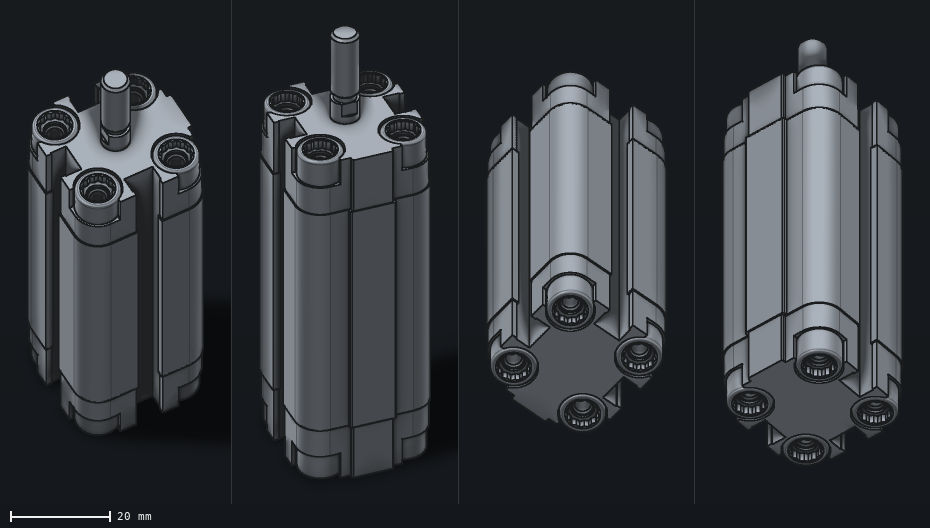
import cadquery as cq
import math

BODY_LENGTH = 78.0
CAP_LENGTH = 12.5
BARREL_HALF_WIDTH = 14.5
CAP_INSET = 0.25
CORNER_RADIUS = 5.5

RIB_HEIGHT = 1.0
RIB_HALF_WIDTH = 5.0
RIB_CAP_INSET = 0.5
RIB_CHAMFER = 0.3

SLOT_OPENING = 5.5
SLOT_UNDERCUT = 6.5
SLOT_LIP = 1.7
SLOT_DEPTH = 4.9

BOSS_OFFSET = BARREL_HALF_WIDTH - CORNER_RADIUS
BOSS_DIAMETER = 9.5
BOSS_HEIGHT = 6.0
BOSS_EDGE_RADIUS = 0.6
POCKET_RADIUS = 5.0
POCKET_WALL_OFFSET = 2.3
SOCKET_RIM_DIAMETER = 7.2
SOCKET_RIM_DEPTH = 0.15
SOCKET_POINTS = 12
SOCKET_ACROSS_FLATS = 5.9
SOCKET_DEPTH = 2.2
BORE_DIAMETER = 4.77
BORE_DEPTH = 2.9
COUNTERSINK_DIAMETER = 4.13
THROUGH_DIAMETER = 3.24

ROD_DIAMETER = 6.0
NECK_DIAMETER = 4.77
ROD_LENGTH = 20.5
SHOULDER_HEIGHT = 4.7
THREAD_START = 6.5
FLAT_START = 1.75
ACROSS_FLATS = 5.0


def outline_block(inset, rib_inset, length):
    """Prism of the housing section, with its outer faces and rib sides set back by the insets."""
    half_width = BARREL_HALF_WIDTH - inset
    block = (
        cq.Workplane("XY")
        .rect(2 * half_width, 2 * half_width)
        .extrude(length)
        .edges("|Z")
        .fillet(CORNER_RADIUS - inset)
    )
    rib_width = 2 * (RIB_HALF_WIDTH - rib_inset)
    rib_top = half_width + RIB_HEIGHT
    rib = (
        cq.Workplane("XY")
        .center(0, rib_top / 2)
        .rect(rib_width, rib_top)
        .extrude(length)
        .edges("|Z and >Y")
        .chamfer(RIB_CHAMFER)
    )
    block = block.union(rib)
    slot = t_slot(inset, length)
    for angle in (0, 90, -90):
        block = block.cut(slot.rotate((0, 0, 0), (0, 0, 1), angle))
    return block


def t_slot(inset, length):
    """Cutter for the T-slot that opens on the -Y face; the inset widens its mouth and thins its lips."""
    floor_y = -(BARREL_HALF_WIDTH - SLOT_DEPTH)
    lip_y = -(BARREL_HALF_WIDTH - SLOT_LIP + inset)
    half_opening = SLOT_OPENING / 2 + inset
    undercut = (
        cq.Workplane("XY")
        .center(0, (floor_y + lip_y) / 2)
        .rect(SLOT_UNDERCUT, floor_y - lip_y)
        .extrude(length)
    )
    opening_height = BARREL_HALF_WIDTH + floor_y
    opening = (
        cq.Workplane("XY")
        .center(0, floor_y - opening_height / 2)
        .rect(2 * half_opening, opening_height)
        .extrude(length)
    )
    return undercut.union(opening)


def corner_pocket():
    """Cutter for the space around one boss, squared off towards the +X, +Y corner."""
    reach = 2 * CORNER_RADIUS
    round_part = cq.Workplane("XY").circle(POCKET_RADIUS).extrude(BOSS_HEIGHT)
    corner_part = cq.Workplane("XY").box(reach, reach, BOSS_HEIGHT, centered=False)
    return round_part.union(corner_part.translate((-POCKET_WALL_OFFSET, -POCKET_WALL_OFFSET, 0)))


def corner_boss():
    """Round boss with a rounded top edge."""
    return (
        cq.Workplane("XY")
        .circle(BOSS_DIAMETER / 2)
        .extrude(BOSS_HEIGHT)
        .faces(">Z")
        .fillet(BOSS_EDGE_RADIUS)
    )


def screw_socket():
    """Cutter for the star socket, its rim recess, bore and countersink, below the boss top."""
    half_flats = SOCKET_ACROSS_FLATS / 2
    point_radius = half_flats / math.cos(math.pi / 6)
    notch_radius = half_flats / math.cos(math.pi / 12)
    star = []
    for step in range(2 * SOCKET_POINTS):
        radius = point_radius if step % 2 == 0 else notch_radius
        angle = step * math.pi / SOCKET_POINTS
        star.append((radius * math.cos(angle), radius * math.sin(angle)))
    socket = (
        cq.Workplane("XY")
        .workplane(offset=BOSS_HEIGHT)
        .polyline(star)
        .close()
        .extrude(-SOCKET_DEPTH)
    )
    rim = (
        cq.Workplane("XY")
        .workplane(offset=BOSS_HEIGHT)
        .circle(SOCKET_RIM_DIAMETER / 2)
        .extrude(-SOCKET_RIM_DEPTH)
    )
    bore = (
        cq.Workplane("XY")
        .workplane(offset=BOSS_HEIGHT)
        .circle(BORE_DIAMETER / 2)
        .extrude(-BORE_DEPTH)
    )
    cone_height = (COUNTERSINK_DIAMETER - THROUGH_DIAMETER) / 2
    countersink = (
        cq.Workplane("XY")
        .workplane(offset=BOSS_HEIGHT - BORE_DEPTH)
        .circle(COUNTERSINK_DIAMETER / 2)
        .workplane(offset=-cone_height)
        .circle(THROUGH_DIAMETER / 2)
        .loft(ruled=True)
    )
    return socket.union(rim).union(bore).union(countersink)


def end_cap():
    """End cap with its outer face up, standing on z = 0."""
    cap = outline_block(CAP_INSET, RIB_CAP_INSET, CAP_LENGTH)
    ledge = CAP_LENGTH - BOSS_HEIGHT
    pocket = corner_pocket()
    boss = corner_boss()
    socket = screw_socket()
    for x_side in (-1, 1):
        for y_side in (-1, 1):
            turn = math.degrees(math.atan2(y_side, x_side) - math.atan2(1, 1))
            center = (x_side * BOSS_OFFSET, y_side * BOSS_OFFSET, ledge)
            cap = cap.cut(pocket.rotate((0, 0, 0), (0, 0, 1), turn).translate(center))
            cap = cap.union(boss.translate(center))
            cap = cap.cut(socket.translate(center))
    return cap


def build_housing():
    """Barrel with a cap on each end and screw holes running its full length."""
    barrel_length = BODY_LENGTH - 2 * CAP_LENGTH
    barrel = outline_block(0, 0, barrel_length).translate((0, 0, CAP_LENGTH))
    cap = end_cap()
    top_cap = cap.translate((0, 0, BODY_LENGTH - CAP_LENGTH))
    bottom_cap = cap.mirror("XY").translate((0, 0, CAP_LENGTH))
    through_holes = (
        cq.Workplane("XY")
        .rect(2 * BOSS_OFFSET, 2 * BOSS_OFFSET, forConstruction=True)
        .vertices()
        .circle(THROUGH_DIAMETER / 2)
        .extrude(BODY_LENGTH)
    )
    return barrel.union(top_cap).union(bottom_cap).cut(through_holes)


def build_rod():
    """Piston rod end, standing on the top cap, with wrench flats on its shoulder."""
    radius = ROD_DIAMETER / 2
    neck_radius = NECK_DIAMETER / 2
    bevel = radius - neck_radius
    profile = [
        (0, 0),
        (radius, 0),
        (radius, SHOULDER_HEIGHT),
        (neck_radius, SHOULDER_HEIGHT),
        (neck_radius, THREAD_START - bevel),
        (radius, THREAD_START),
        (radius, ROD_LENGTH - bevel),
        (neck_radius, ROD_LENGTH),
        (0, ROD_LENGTH),
    ]
    rod = cq.Workplane("XZ").polyline(profile).close().revolve(360, (0, 0, 0), (0, 1, 0))
    flat_height = SHOULDER_HEIGHT - FLAT_START
    flat_depth = (ROD_DIAMETER - ACROSS_FLATS) / 2
    for side in (-1, 1):
        flat = cq.Workplane("XY").box(ROD_DIAMETER, flat_depth, flat_height)
        flat_center = (0, side * (ACROSS_FLATS + flat_depth) / 2, FLAT_START + flat_height / 2)
        rod = rod.cut(flat.translate(flat_center))
    return rod.translate((0, 0, BODY_LENGTH))


housing = build_housing()
rod = build_rod()
result = cq.Compound.makeCompound([housing.val(), rod.val()])